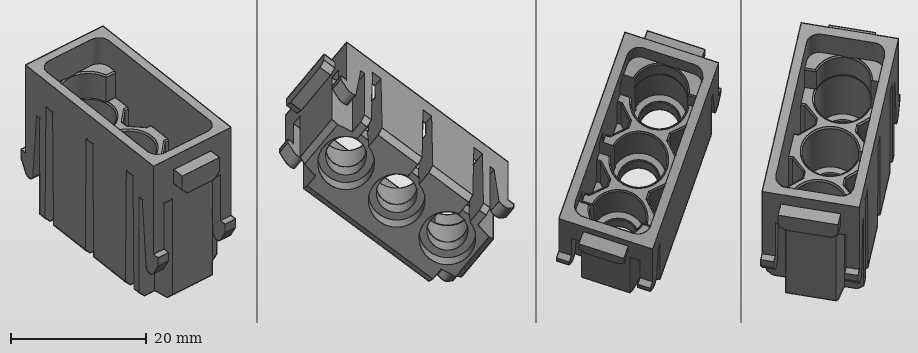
import cadquery as cq

BODY_LENGTH = 30.25
BODY_WIDTH = 14.6
BODY_HEIGHT = 27.2
BASE_CHAMFER_HEIGHT = 1.05
BASE_CHAMFER_INSET = 0.95

CAVITY_LENGTH = 27.4
CAVITY_WIDTH = 11.68
CAVITY_CORNER_RADIUS = 1.92
FLOOR_Z = 17.4
EDGE_CHAMFER = 0.25

CORNER_BLOCK_TOP_Z = 22.3
REAR_BLOCK_END_X = 10.35

BORE_PITCH = 9.5
BORE_XS = (-BORE_PITCH, 0, BORE_PITCH)
HOLE_DIAMETER = 6.0
HOLE_CHAMFER = 0.17
COUNTERBORE_DIAMETER = 8.32
UPPER_SEAT_Z = 6.92
LOWER_SEAT_Z = 3.15

SLOT_TOP_Z = CORNER_BLOCK_TOP_Z
SLOT_TOP_WIDTH = 1.58
SLOT_BASE_WIDTH = 2.02
SLOT_END_Y = -3.95

POCKET_WIDTH = 5.1
POCKET_TIP_WIDTH = 1.03
POCKET_TIP_Y = 3.2
POCKET_BOTTOM_Z = UPPER_SEAT_Z

RELIEF_TOP_Z = 19.18
RELIEF_INNER_X = 11.75
RELIEF_INNER_Y = 4.4
RELIEF_OUTER_Y = 3.77

ARM_WIDTH = 2.0
ARM_ROOT_X = 12.45
ARM_TIP_X = 13.4
ARM_TIP_Z = 6.92
ARM_END_Z = 6.3
CATCH_X = 16.2
CATCH_TOP_Z = 10.5
CATCH_EDGE_Z = 8.95

OVERALL_LENGTH = 34.25
LUG_TOP_Z = 24.65
LUG_BOTTOM_Z = 21.0
LUG_CHAMFER = 1.0
LEFT_LUG_WIDTH = 8.97
RIGHT_LUG_WIDTH = 7.0

HALF_LENGTH = BODY_LENGTH / 2
HALF_WIDTH = BODY_WIDTH / 2


def prism(bottom_z, top_z):
    """Workplane at bottom_z and the height up to top_z."""
    return cq.Workplane("XY").workplane(offset=bottom_z), top_z - bottom_z


def block(x_range, y_range, z_range):
    """Box between the given limits."""
    size = [high - low for low, high in (x_range, y_range, z_range)]
    return cq.Workplane("XY").box(*size, centered=False).translate((x_range[0], y_range[0], z_range[0]))


def disc(radius, x, bottom_z, top_z):
    """Upright cylinder on the bore row."""
    plane, height = prism(bottom_z, top_z)
    return plane.center(x, 0).circle(radius).extrude(height)


def chamfered_disc(radius, chamfer, x, bottom_z, top_z):
    """Upright cylinder that flares out at its top."""
    flare_plane = cq.Workplane("XY").workplane(offset=top_z - chamfer).center(x, 0)
    flare = flare_plane.circle(radius).workplane(offset=chamfer).circle(radius + chamfer).loft()
    return disc(radius, x, bottom_z, top_z).union(flare)


def cavity_prism(bottom_z, top_z):
    """Rounded rectangle of the cavity between two heights."""
    plane, height = prism(bottom_z, top_z)
    outline = plane.rect(CAVITY_LENGTH, CAVITY_WIDTH).extrude(height)
    return outline.edges("|Z").fillet(CAVITY_CORNER_RADIUS)


def all_corners(shape):
    """Repeat a shape made at the +X +Y corner at all four corners."""
    pair = shape.union(shape.mirror("YZ"))
    return pair.union(pair.mirror("XZ"))


def make_body():
    """Block with a bevel around its underside."""
    base = cq.Workplane("XY").rect(BODY_LENGTH - 2 * BASE_CHAMFER_INSET, BODY_WIDTH - 2 * BASE_CHAMFER_INSET)
    bevel = base.workplane(offset=BASE_CHAMFER_HEIGHT).rect(BODY_LENGTH, BODY_WIDTH).loft()
    plane, height = prism(BASE_CHAMFER_HEIGHT, BODY_HEIGHT)
    return bevel.union(plane.rect(BODY_LENGTH, BODY_WIDTH).extrude(height))


def make_relief():
    """Corner notch with one slightly tilted wall."""
    outline = [
        (HALF_LENGTH, RELIEF_OUTER_Y),
        (RELIEF_INNER_X, RELIEF_INNER_Y),
        (RELIEF_INNER_X, HALF_WIDTH),
        (HALF_LENGTH, HALF_WIDTH),
    ]
    return cq.Workplane("XY").polyline(outline).close().extrude(RELIEF_TOP_Z)


def make_arm():
    """Latch arm hanging from the top of the relief, with a catch and a round tip."""
    profile = (
        cq.Workplane("XZ", origin=(0, HALF_WIDTH, 0))
        .moveTo(ARM_ROOT_X, RELIEF_TOP_Z)
        .lineTo(ARM_TIP_X, ARM_TIP_Z)
        .threePointArc(((ARM_TIP_X + HALF_LENGTH) / 2, ARM_END_Z), (HALF_LENGTH, ARM_TIP_Z))
        .lineTo(CATCH_X, CATCH_EDGE_Z)
        .lineTo(CATCH_X, CATCH_TOP_Z)
        .lineTo(HALF_LENGTH, CATCH_TOP_Z)
        .lineTo(HALF_LENGTH, RELIEF_TOP_Z)
        .close()
    )
    return profile.extrude(ARM_WIDTH)


def make_lug(side, width):
    """Lug on one end face; side is -1 or 1."""
    x_range = sorted((side * HALF_LENGTH, side * OVERALL_LENGTH / 2))
    lug = block(x_range, (-width / 2, width / 2), (LUG_BOTTOM_Z, LUG_TOP_Z))
    return lug.edges("|X and <Z").chamfer(LUG_CHAMFER)


def make_corner_block(side, at_front):
    """Raised block in one cavity corner, hollowed by the nearest bore."""
    inner_x = BORE_PITCH if at_front else REAR_BLOCK_END_X
    y_range = (-HALF_WIDTH, 0) if at_front else (0, HALF_WIDTH)
    limits = block((inner_x, HALF_LENGTH), y_range, (FLOOR_Z, CORNER_BLOCK_TOP_Z))
    limits = limits.edges("<X and >Z").chamfer(EDGE_CHAMFER)
    corner = limits.intersect(cavity_prism(FLOOR_Z, CORNER_BLOCK_TOP_Z))
    bore = chamfered_disc(COUNTERBORE_DIAMETER / 2, EDGE_CHAMFER, BORE_PITCH, FLOOR_Z, CORNER_BLOCK_TOP_Z)
    corner = corner.cut(bore)
    return corner if side > 0 else corner.mirror("YZ")


def make_upper_bore(x):
    """Counterbore from the cavity floor, kept inside the cavity walls."""
    bore = chamfered_disc(COUNTERBORE_DIAMETER / 2, EDGE_CHAMFER, x, UPPER_SEAT_Z, FLOOR_Z)
    return bore.intersect(cavity_prism(UPPER_SEAT_Z, FLOOR_Z))


def make_pocket(x):
    """Floor pocket at the rear wall, narrowing at 45 degrees, with a bevelled rim."""
    wall_y = CAVITY_WIDTH / 2
    shoulder_y = POCKET_TIP_Y + (POCKET_WIDTH - POCKET_TIP_WIDTH) / 2
    half_tip = POCKET_TIP_WIDTH / 2
    half_width = POCKET_WIDTH / 2
    outline = [
        (-half_width, wall_y),
        (-half_width, shoulder_y),
        (-half_tip, POCKET_TIP_Y),
        (half_tip, POCKET_TIP_Y),
        (half_width, shoulder_y),
        (half_width, wall_y),
    ]
    plane, depth = prism(POCKET_BOTTOM_Z, FLOOR_Z)
    pocket = plane.center(x, 0).polyline(outline).close().extrude(depth)
    rim_plane = cq.Workplane("XY").workplane(offset=FLOOR_Z).center(x, 0)
    rim = rim_plane.polyline(outline).close().offset2D(EDGE_CHAMFER, "intersection")
    rim = rim.extrude(-EDGE_CHAMFER, taper=45)
    return pocket.union(rim).intersect(cavity_prism(POCKET_BOTTOM_Z, FLOOR_Z))


def make_slot(x):
    """Front slot that widens towards the underside."""
    outline = [
        (x - SLOT_BASE_WIDTH / 2, 0),
        (x + SLOT_BASE_WIDTH / 2, 0),
        (x + SLOT_TOP_WIDTH / 2, SLOT_TOP_Z),
        (x - SLOT_TOP_WIDTH / 2, SLOT_TOP_Z),
    ]
    plane = cq.Workplane("XZ", origin=(0, SLOT_END_Y, 0))
    return plane.polyline(outline).close().extrude(HALF_WIDTH + SLOT_END_Y)


result = make_body().cut(cavity_prism(FLOOR_Z, BODY_HEIGHT))

for side in (-1, 1):
    for at_front in (True, False):
        result = result.union(make_corner_block(side, at_front))
    pocket = make_pocket(side * BORE_PITCH / 2)
    result = result.cut(pocket).cut(pocket.mirror("XZ"))

for bore_x in BORE_XS:
    result = result.cut(make_upper_bore(bore_x))
    result = result.cut(chamfered_disc(HOLE_DIAMETER / 2, HOLE_CHAMFER, bore_x, LOWER_SEAT_Z, UPPER_SEAT_Z))
    result = result.cut(disc(COUNTERBORE_DIAMETER / 2, bore_x, 0, LOWER_SEAT_Z))
    result = result.cut(make_slot(bore_x))

result = result.cut(all_corners(make_relief())).union(all_corners(make_arm()))
result = result.union(make_lug(-1, LEFT_LUG_WIDTH)).union(make_lug(1, RIGHT_LUG_WIDTH))